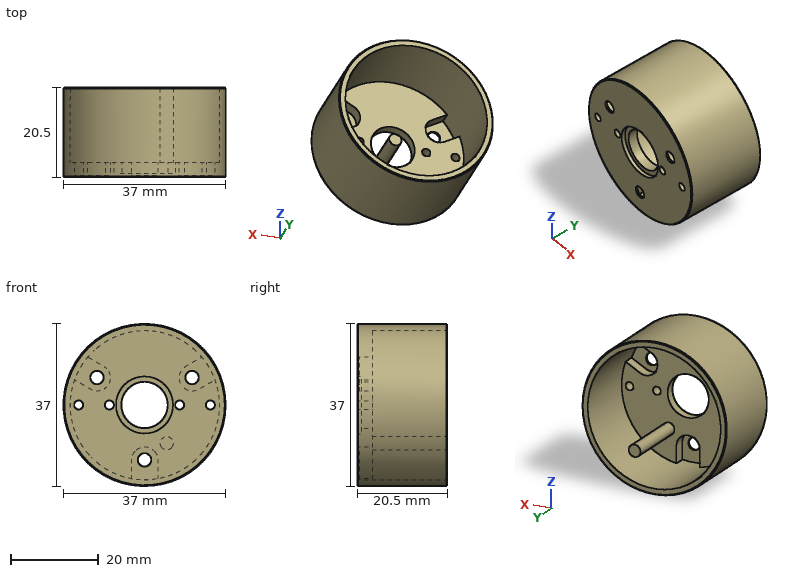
import cadquery as cq
import math


outer_diameter = 37.0
length = 20.5
edge_chamfer = 0.25
wall_thickness = 1.5
plate_thickness = 3.5
cavity_diameter = outer_diameter - 2 * wall_thickness

bore_diameter = 10.5
seat_diameter = 13.0
seat_depth = 1.0

screw_hole_diameter = 3.0
screw_circle_radius = 12.5
screw_angles = (30, 150, 270)
slot_width = 6.0
web_thickness = 0.5

small_hole_diameter = 2.0
small_hole_offsets = (8.0, 15.0)

post_diameter = 3.0
post_circle_radius = 10.0
post_angle = -60


def cylinder(diameter, start, end, x=0.0, z=0.0):
    """Cylinder parallel to Y, from Y = start to Y = end."""
    disc = cq.Workplane("XZ", origin=(x, start, z)).circle(diameter / 2)
    return disc.extrude(start - end)


def make_shell():
    body = cylinder(outer_diameter, 0, length)
    body = body.faces("<Y or >Y").chamfer(edge_chamfer)
    return body.cut(cylinder(cavity_diameter, plate_thickness, length))


def make_post():
    x = post_circle_radius * math.cos(math.radians(post_angle))
    z = post_circle_radius * math.sin(math.radians(post_angle))
    return cylinder(post_diameter, plate_thickness, length, x, z)


def make_stepped_bore():
    bore = cylinder(bore_diameter, 0, plate_thickness)
    return bore.union(cylinder(seat_diameter, 0, seat_depth))


def make_screw_cutter(angle):
    """Screw hole and slot; the slot has a round inner end and runs out to the cavity wall."""
    slot_run = cavity_diameter / 2 - screw_circle_radius
    slot_depth = plate_thickness - web_thickness
    channel = (
        cq.Workplane("XZ", origin=(screw_circle_radius + slot_run / 2, web_thickness, 0))
        .rect(slot_run, slot_width)
        .extrude(-slot_depth)
    )
    round_end = cylinder(slot_width, web_thickness, plate_thickness, screw_circle_radius)
    slot = channel.union(round_end).intersect(cylinder(cavity_diameter, 0, plate_thickness))
    hole = cylinder(screw_hole_diameter, 0, plate_thickness, screw_circle_radius)
    return slot.union(hole).rotate((0, 0, 0), (0, 1, 0), -angle)


result = make_shell().union(make_post()).cut(make_stepped_bore())

for screw_angle in screw_angles:
    result = result.cut(make_screw_cutter(screw_angle))

for offset in small_hole_offsets:
    for hole_x in (-offset, offset):
        result = result.cut(cylinder(small_hole_diameter, 0, plate_thickness, hole_x))